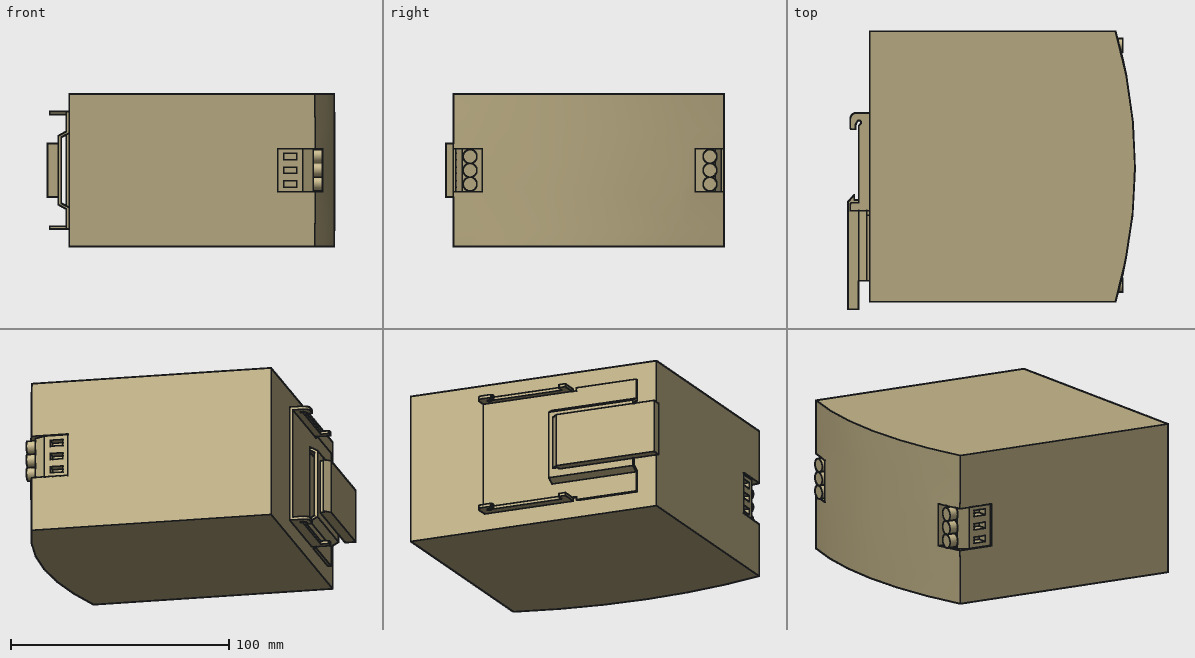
import cadquery as cq
import math

LENGTH = 131.7
DEPTH = 124.0
HEIGHT = 70.0
MID_Z = HEIGHT / 2
HOUSING_X = 10.0
BOW = 9.0
VERTICAL_BOW = 0.1
SHOULDER_X = LENGTH - BOW

SHEET = 1.5
PLATE_X = HOUSING_X - SHEET
PLATE_HEIGHT = 54.0
PLATE_Y = (9.6, 86.6)

BRIDGE_X = 5.0
BRIDGE_TOP_Y = 52.0
BRIDGE_CREST_HEIGHT = 31.6
BRIDGE_FOOT_HEIGHT = 35.5

EAR_X = 5.0
HOOK_X = 1.0
HOOK_ROUND = 2.9
HOOK_TIP_Y = 79.0
HOOK_TIP_WIDTH = 2.5
HOOK_CHAMFER = 0.5
HOOK_TIP_LENGTH = 2.1
SLOT_CENTER = (5.1, 82.2)
SLOT_RADIUS = 0.9
LUG_Y = (41.9, 45.4)
RELIEF_Y = 39.8

FOOT_HEIGHT = 24.6
FOOT_OVERHANG = 3.4
CATCH_TIP = (3.0, 49.1)
CATCH_BASE_Y = 46.7
FOOT_SHOULDER_Y = 45.8

POCKET_X = 105.6
POCKET_HEIGHT = 19.8
POCKET_DEPTH = 13.2
TERMINAL_SETBACK = 1.2
TERMINAL_END_X = 121.8
BEVEL_LENGTH = 4.9
BEVEL_DEPTH = 2.8
WIRE_PITCH = 6.3
WIRE_HOLE = (6.0, 2.9)
WIRE_HOLE_X = 111.3
WIRE_HOLE_DEPTH = 5.3
SCREW_END_X = 126.0
SCREW_DIAMETER = 6.3
FRONT_SCREW_SETBACK = 4.5
REAR_SCREW_SETBACK = 3.3


def box(x, y, z):
    """Box between the (low, high) limits on each axis."""
    size = (x[1] - x[0], y[1] - y[0], z[1] - z[0])
    return cq.Workplane("XY").box(*size, centered=False).translate((x[0], y[0], z[0]))


def centered_z(height):
    """Z limits of a feature centred on the mid-height of the housing."""
    return (MID_Z - height / 2, MID_Z + height / 2)


def make_housing():
    """Block bounded in +X by an arc swept round a distant axis parallel to Y."""
    half_height = HEIGHT / 2
    sweep_radius = (half_height**2 + VERTICAL_BOW**2) / (2 * VERTICAL_BOW)
    axis_x = LENGTH - sweep_radius
    sweep_angle = 4 * math.degrees(math.asin(half_height / sweep_radius))
    bowed = (
        cq.Workplane("XY", origin=(0, 0, MID_Z))
        .moveTo(axis_x, 0)
        .lineTo(SHOULDER_X, 0)
        .threePointArc((LENGTH, DEPTH / 2), (SHOULDER_X, DEPTH))
        .lineTo(axis_x, DEPTH)
        .close()
        .revolve(sweep_angle, (axis_x, 0, 0), (axis_x, DEPTH, 0))
        .rotate((axis_x, 0, MID_Z), (axis_x, DEPTH, MID_Z), -sweep_angle / 2)
    )
    return box((HOUSING_X, LENGTH), (0, DEPTH), (0, HEIGHT)).intersect(bowed)


def make_pocket():
    return box((POCKET_X, LENGTH), (0, POCKET_DEPTH), centered_z(POCKET_HEIGHT))


def make_terminal(screw_setback):
    """Terminal block for the -Y face: bevelled, with wire openings and screws facing +X."""
    bottom, _ = centered_z(POCKET_HEIGHT)
    block = (
        cq.Workplane("XY", origin=(0, 0, bottom))
        .moveTo(POCKET_X, TERMINAL_SETBACK)
        .lineTo(TERMINAL_END_X - BEVEL_LENGTH, TERMINAL_SETBACK)
        .lineTo(TERMINAL_END_X, TERMINAL_SETBACK + BEVEL_DEPTH)
        .lineTo(TERMINAL_END_X, POCKET_DEPTH)
        .lineTo(POCKET_X, POCKET_DEPTH)
        .close()
        .extrude(POCKET_HEIGHT)
    )
    hole_length, hole_height = WIRE_HOLE
    hole_x = (WIRE_HOLE_X - hole_length / 2, WIRE_HOLE_X + hole_length / 2)
    hole_y = (TERMINAL_SETBACK, TERMINAL_SETBACK + WIRE_HOLE_DEPTH)
    screw_y = screw_setback + SCREW_DIAMETER / 2
    for step in (-1, 0, 1):
        offset = step * WIRE_PITCH
        hole_bottom, hole_top = centered_z(hole_height)
        block = block.cut(box(hole_x, hole_y, (hole_bottom + offset, hole_top + offset)))
        screw = (
            cq.Workplane("YZ", origin=(TERMINAL_END_X, screw_y, MID_Z + offset))
            .circle(SCREW_DIAMETER / 2)
            .extrude(SCREW_END_X - TERMINAL_END_X)
        )
        block = block.union(screw)
    return block


def to_rear(shape):
    """Mirror a -Y side feature onto the +Y side of the housing."""
    return shape.mirror("XZ", (0, DEPTH / 2, 0))


def make_plate():
    """Flat plate with an opening behind the bridge and reliefs below the ears."""
    plate = box((PLATE_X, HOUSING_X), PLATE_Y, centered_z(PLATE_HEIGHT))
    opening = box(
        (PLATE_X, HOUSING_X), (PLATE_Y[0], BRIDGE_TOP_Y), centered_z(BRIDGE_FOOT_HEIGHT)
    )
    plate = plate.cut(opening)
    bottom, top = centered_z(PLATE_HEIGHT)
    for low in (bottom, top - SHEET):
        plate = plate.cut(box((PLATE_X, HOUSING_X), (RELIEF_Y, LUG_Y[0]), (low, low + SHEET)))
    return plate


def make_bridge():
    """Sheet bent into a trapezoid, running along Y."""
    rise = PLATE_X - BRIDGE_X
    flare = (BRIDGE_FOOT_HEIGHT - BRIDGE_CREST_HEIGHT) / 2 / rise

    def trapezoid(crest_x, half_crest):
        half_foot = half_crest + flare * (HOUSING_X - crest_x)
        outline = [
            (crest_x, MID_Z - half_crest),
            (crest_x, MID_Z + half_crest),
            (HOUSING_X, MID_Z + half_foot),
            (HOUSING_X, MID_Z - half_foot),
        ]
        return (
            cq.Workplane("XZ", origin=(0, BRIDGE_TOP_Y, 0))
            .polyline(outline)
            .close()
            .extrude(BRIDGE_TOP_Y - PLATE_Y[0])
        )

    half_crest = BRIDGE_CREST_HEIGHT / 2
    outer = trapezoid(BRIDGE_X, half_crest)
    inner = trapezoid(BRIDGE_X + SHEET, half_crest - SHEET / 2)
    return outer.cut(inner)


def make_ear(low_z):
    """Ear with a rounded hook at the +Y end and a square lug at the other end."""
    lug_bottom, lug_top = LUG_Y
    hook_top = PLATE_Y[1]
    hook_inner_x = HOOK_X + HOOK_TIP_WIDTH
    slot_x, slot_y = SLOT_CENTER
    diagonal = SLOT_RADIUS * math.sqrt(0.5)
    exit_x = slot_x + diagonal
    exit_y = slot_y - diagonal
    return (
        cq.Workplane("XY", origin=(0, 0, low_z))
        .moveTo(HOUSING_X, hook_top)
        .lineTo(HOOK_X + HOOK_ROUND, hook_top)
        .radiusArc((HOOK_X, hook_top - HOOK_ROUND), -HOOK_ROUND)
        .lineTo(HOOK_X, HOOK_TIP_Y + HOOK_CHAMFER)
        .lineTo(HOOK_X + HOOK_CHAMFER, HOOK_TIP_Y)
        .lineTo(hook_inner_x, HOOK_TIP_Y)
        .lineTo(hook_inner_x, HOOK_TIP_Y + HOOK_TIP_LENGTH)
        .lineTo(slot_x - diagonal, slot_y + diagonal)
        .threePointArc((slot_x + diagonal, slot_y + diagonal), (exit_x, exit_y))
        .lineTo(EAR_X, exit_y - (exit_x - EAR_X))
        .lineTo(EAR_X, lug_top)
        .lineTo(HOOK_X + HOOK_CHAMFER, lug_top)
        .lineTo(HOOK_X, lug_top - HOOK_CHAMFER)
        .lineTo(HOOK_X, lug_bottom)
        .lineTo(HOUSING_X, lug_bottom)
        .close()
        .extrude(SHEET)
    )


def make_foot():
    bottom, _ = centered_z(FOOT_HEIGHT)
    outline = [
        (0, -FOOT_OVERHANG),
        (0, FOOT_SHOULDER_Y),
        CATCH_TIP,
        (CATCH_TIP[0], CATCH_BASE_Y),
        (BRIDGE_X, CATCH_BASE_Y),
        (BRIDGE_X, -FOOT_OVERHANG),
    ]
    return cq.Workplane("XY", origin=(0, 0, bottom)).polyline(outline).close().extrude(FOOT_HEIGHT)


pocket = make_pocket()
ear_bottom, ear_top = centered_z(PLATE_HEIGHT)

result = (
    make_housing()
    .cut(pocket)
    .cut(to_rear(pocket))
    .union(make_terminal(FRONT_SCREW_SETBACK))
    .union(to_rear(make_terminal(REAR_SCREW_SETBACK)))
    .union(make_plate())
    .union(make_bridge())
    .union(make_ear(ear_bottom))
    .union(make_ear(ear_top - SHEET))
    .union(make_foot())
)